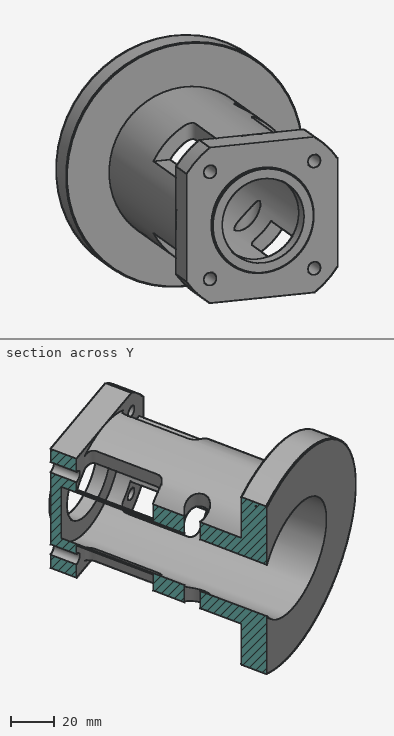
import cadquery as cq

flange_diameter = 116.0
flange_thickness = 13.7
flange_edge_chamfer = 0.5

barrel_diameter = 74.0
bore_diameter = 60.0
bore_depth = 108.0
outlet_diameter = 40.0

plate_start = 100.0
plate_thickness = 13.7
plate_width = barrel_diameter
plate_corner_diameter = 90.0
plate_end = plate_start + plate_thickness

total_length = 115.0
spigot_diameter = 50.0
spigot_chamfer = 0.5

screw_hole_diameter = 6.1
screw_circle_diameter = 72.0

window_start = 60.0
window_side_y = 14.0
window_side_z = 17.0
window_corner_radius = 4.0

cross_hole_diameter = 12.0
cross_hole_x = 39.2
cross_hole_y = 21.0


def disc(start, end, diameter):
    """Cylinder along X between two stations."""
    return cq.Workplane("YZ", origin=(start, 0, 0)).circle(diameter / 2).extrude(end - start)


def make_flange():
    return disc(0, flange_thickness, flange_diameter).edges().chamfer(flange_edge_chamfer)


def make_end_plate():
    """Square plate whose corners are turned to a common diameter."""
    square = (
        cq.Workplane("YZ", origin=(plate_start, 0, 0))
        .rect(plate_width, plate_width)
        .extrude(plate_thickness)
    )
    return square.intersect(disc(plate_start, plate_end, plate_corner_diameter))


def make_spigot():
    """Low locating boss on the outer face of the end plate."""
    return disc(plate_start, total_length, spigot_diameter).faces(">X").chamfer(spigot_chamfer)


def make_screw_holes():
    offset = screw_circle_diameter / 2 / 2**0.5
    return (
        cq.Workplane("YZ", origin=(plate_start, 0, 0))
        .rect(2 * offset, 2 * offset, forConstruction=True)
        .vertices()
        .circle(screw_hole_diameter / 2)
        .extrude(plate_thickness)
    )


def make_window(y_side, z_side):
    """Cutter for one barrel window, rounded only along its wall nearest the XZ plane."""
    barrel_radius = barrel_diameter / 2
    cutter = cq.Workplane("XY").box(
        plate_start - window_start,
        barrel_radius - window_side_y,
        barrel_radius - window_side_z,
        centered=False,
    )
    cutter = cutter.edges("|Z and <Y").fillet(window_corner_radius)
    cutter = cutter.translate((window_start, window_side_y, window_side_z))
    if y_side < 0:
        cutter = cutter.mirror("XZ")
    if z_side < 0:
        cutter = cutter.mirror("XY")
    return cutter


def make_cross_hole():
    """Vertical hole through both walls of the barrel, beside the axis."""
    return (
        cq.Workplane("XY")
        .center(cross_hole_x, cross_hole_y)
        .circle(cross_hole_diameter / 2)
        .extrude(barrel_diameter / 2, both=True)
    )


result = make_flange().union(disc(0, plate_start, barrel_diameter))
result = result.union(make_end_plate()).union(make_spigot())

result = result.cut(disc(0, bore_depth, bore_diameter))
result = result.cut(disc(0, total_length, outlet_diameter))

for y_side in (-1, 1):
    for z_side in (-1, 1):
        result = result.cut(make_window(y_side, z_side))

result = result.cut(make_cross_hole()).cut(make_screw_holes())